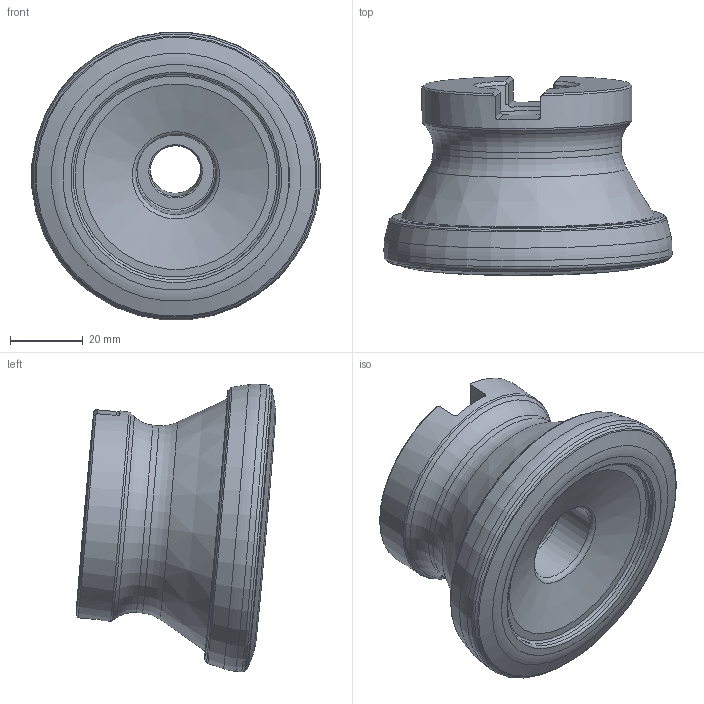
import cadquery as cq
import math

TILT_ANGLE = 5.0
ROLL_ANGLE = -5.0

LENGTH = 49.9
RING_REAR = 13.7

HEAD_RADIUS = 58.0 / 2
HEAD_LENGTH = 9.85
HEAD_RIM_CHAMFER = 0.5
HEAD_FRONT_FILLET = 0.9
HEAD_FRONT_SLOPE = 40.0
NECK_RADIUS = 52.0 / 2
NECK_REAR_BLEND = 8.2
NECK_FRONT_BLEND = 10.0
NECK_SLOPE = 30.0
NECK_FOOT = 29.1
SPIGOT_RADIUS = 31.2

RECESS_RADIUS = 28.45
RECESS_DEPTH = 2.4
RECESS_FILLET = 0.6
DISH_RADIUS = 25.65
DISH_DEPTH = 6.7
DISH_FILLET = 1.4
FRONT_BORE_RADIUS = 22.1 / 2
FRONT_BORE_FLOOR = 19.2
FRONT_BORE_FILLET = 0.5
THROUGH_RADIUS = 14.0 / 2
THROUGH_CHAMFER = 0.4
REAR_BORE_RADIUS = 27.01 / 2
REAR_BORE_DEPTH = 20.0

SLOT_WIDTH = 12.4
SLOT_DEPTH = 7.15
SLOT_FILLET = 0.8
SLOT_CHAMFER = 0.9
SLOT_CORNER_BEVEL = 0.7
COUNTERBORE_RADIUS = 27.2 / 2
COUNTERBORE_DEPTH = SLOT_DEPTH + 1.1
COUNTERBORE_CHAMFER = 1.0

RING_RADIUS = 39.805
RING_FACE_RADIUS = 32.8
RING_FRONT_SLOPE = 15.0
RING_FRONT_BLEND = 12.0
RING_TAPER_START = 6.55
RING_TAPER = 14.0
RING_TAPER_BLEND = 14.0
RING_FRONT_CHAMFER = 1.05
RING_REAR_CHAMFER = 0.8
RING_EDGE_FILLET = 0.7
RING_OUTER_FILLET = 1.2

OVERCUT = 1.0


def tan(angle):
    return math.tan(math.radians(angle))


def turned(corners):
    """Solid turned about Y from (radius, station, fillet) corners; a fillet of 0 keeps a corner sharp."""
    points = [cq.Vector(radius, station) for radius, station, _ in corners]
    outline = cq.Workplane("XY").moveTo(points[0].x, points[0].y)
    for index in range(1, len(corners)):
        corner = points[index]
        fillet = corners[index][2]
        if fillet == 0:
            outline = outline.lineTo(corner.x, corner.y)
            continue
        before = (points[index - 1] - corner).normalized()
        after = (points[(index + 1) % len(points)] - corner).normalized()
        half_angle = before.getAngle(after) / 2
        setback = fillet / math.tan(half_angle)
        start = corner + before * setback
        end = corner + after * setback
        middle = corner + (before + after).normalized() * (fillet / math.sin(half_angle) - fillet)
        outline = outline.lineTo(start.x, start.y).threePointArc((middle.x, middle.y), (end.x, end.y))
    return outline.close().revolve(360, (0, 0, 0), (0, 1, 0))


def make_horn_blank():
    """Head, waisted neck and flaring skirt, with a spigot in front that carries the ring."""
    head_front = LENGTH - HEAD_LENGTH
    neck_rear = head_front - (HEAD_RADIUS - NECK_RADIUS) / tan(HEAD_FRONT_SLOPE)
    skirt_radius = NECK_RADIUS + (NECK_FOOT - RING_REAR) * tan(NECK_SLOPE)
    return turned([
        (0, 0, 0),
        (SPIGOT_RADIUS, 0, 0),
        (SPIGOT_RADIUS, RING_REAR, 0),
        (skirt_radius, RING_REAR, 0),
        (NECK_RADIUS, NECK_FOOT, NECK_FRONT_BLEND),
        (NECK_RADIUS, neck_rear, NECK_REAR_BLEND),
        (HEAD_RADIUS, head_front, HEAD_FRONT_FILLET),
        (HEAD_RADIUS, LENGTH - HEAD_RIM_CHAMFER, 0),
        (HEAD_RADIUS - HEAD_RIM_CHAMFER, LENGTH, 0),
        (0, LENGTH, 0),
    ])


def make_cavity():
    """Everything hollow along the axis, from the front recess to the rear counterbore."""
    mouth_radius = RECESS_RADIUS + RECESS_FILLET + OVERCUT
    rear_bore_floor = LENGTH - REAR_BORE_DEPTH
    counterbore_floor = LENGTH - COUNTERBORE_DEPTH
    return turned([
        (0, -OVERCUT, 0),
        (mouth_radius, -OVERCUT, 0),
        (mouth_radius, 0, 0),
        (RECESS_RADIUS, 0, RECESS_FILLET),
        (RECESS_RADIUS, RECESS_DEPTH, RECESS_FILLET),
        (DISH_RADIUS, RECESS_DEPTH, 0),
        (FRONT_BORE_RADIUS, DISH_DEPTH, DISH_FILLET),
        (FRONT_BORE_RADIUS, FRONT_BORE_FLOOR, FRONT_BORE_FILLET),
        (THROUGH_RADIUS + THROUGH_CHAMFER, FRONT_BORE_FLOOR, 0),
        (THROUGH_RADIUS, FRONT_BORE_FLOOR + THROUGH_CHAMFER, 0),
        (THROUGH_RADIUS, rear_bore_floor, 0),
        (REAR_BORE_RADIUS, rear_bore_floor, 0),
        (REAR_BORE_RADIUS, counterbore_floor, 0),
        (COUNTERBORE_RADIUS, counterbore_floor, 0),
        (COUNTERBORE_RADIUS, LENGTH - COUNTERBORE_CHAMFER, 0),
        (COUNTERBORE_RADIUS + COUNTERBORE_CHAMFER, LENGTH, 0),
        (0, LENGTH, 0),
    ])


def make_slot():
    """Slot straight across the head, with filleted floor corners and chamfered upper edges."""
    half_length = HEAD_RADIUS + OVERCUT
    slot = cq.Workplane("XY").box(SLOT_WIDTH, SLOT_DEPTH, 2 * half_length)
    slot = slot.translate((0, LENGTH - SLOT_DEPTH / 2, 0)).faces("<Y").edges("|Z").fillet(SLOT_FILLET)
    wall = SLOT_WIDTH / 2
    flare = cq.Workplane("XY").polyline([
        (-wall, LENGTH - SLOT_CHAMFER),
        (wall, LENGTH - SLOT_CHAMFER),
        (wall + SLOT_CHAMFER, LENGTH),
        (-wall - SLOT_CHAMFER, LENGTH),
    ])
    return slot.union(flare.close().extrude(half_length, both=True))


def make_corner_bevel():
    """Prism that bevels the four upright corners between the slot walls and the counterbore."""
    wall = SLOT_WIDTH / 2
    outer = wall + SLOT_CORNER_BEVEL
    z_wall = math.sqrt(COUNTERBORE_RADIUS**2 - wall**2) + SLOT_CORNER_BEVEL
    z_bore = math.sqrt(COUNTERBORE_RADIUS**2 - outer**2)
    outline = cq.Workplane("XZ", origin=(0, LENGTH, 0)).polyline([
        (wall, z_wall),
        (outer, z_bore),
        (outer, -z_bore),
        (wall, -z_wall),
        (-wall, -z_wall),
        (-outer, -z_bore),
        (-outer, z_bore),
        (-wall, z_wall),
    ])
    return outline.close().extrude(SLOT_DEPTH - SLOT_FILLET)


def make_horn():
    return make_horn_blank().cut(make_cavity()).cut(make_slot()).cut(make_corner_bevel())


def make_ring():
    """Ring that sits on the horn's spigot, sloped in front and tapered towards the rear."""
    front_edge_radius = RING_RADIUS - RING_FRONT_CHAMFER
    front_edge = (front_edge_radius - RING_FACE_RADIUS) * tan(RING_FRONT_SLOPE)
    rear_radius = RING_RADIUS - (RING_REAR - RING_TAPER_START) * tan(RING_TAPER)
    rear_edge_radius = rear_radius + RING_REAR_CHAMFER * tan(RING_TAPER)
    return turned([
        (SPIGOT_RADIUS, 0, 0),
        (RING_FACE_RADIUS, 0, RING_FRONT_BLEND),
        (front_edge_radius, front_edge, RING_EDGE_FILLET),
        (RING_RADIUS, front_edge + RING_FRONT_CHAMFER, RING_OUTER_FILLET),
        (RING_RADIUS, RING_TAPER_START, RING_TAPER_BLEND),
        (rear_edge_radius, RING_REAR - RING_REAR_CHAMFER, RING_EDGE_FILLET),
        (rear_radius - RING_REAR_CHAMFER, RING_REAR, RING_EDGE_FILLET),
        (SPIGOT_RADIUS, RING_REAR, 0),
    ])


def placed(body):
    tilted = body.rotate((0, 0, 0), (1, 0, 0), TILT_ANGLE)
    return tilted.rotate((0, 0, 0), (0, 1, 0), ROLL_ANGLE)


horn = placed(make_horn())
ring = placed(make_ring())
result = cq.Compound.makeCompound([horn.val(), ring.val()])